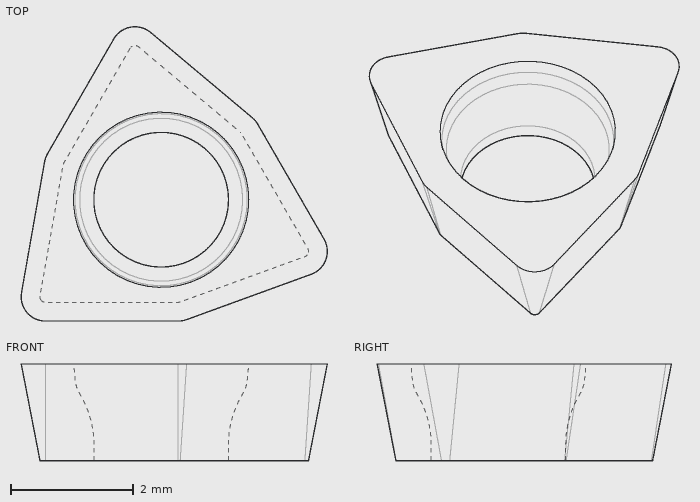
import cadquery as cq
import math

overall_length = 5.01
thickness = 1.59
corner_radius = 0.4
relief_angle = 11.0
edge_break_angle = 20.0
first_edge_normal = -90.0
lobe_count = 3
lobe_angle = 360 / lobe_count

bore_radius = 2.2 / 2
mouth_top_radius = 1.435
mouth_bottom_radius = 1.41
mouth_depth = 0.265
seat_top_radius = 1.335
seat_top_depth = 0.49
seat_bottom_depth = 1.32


def tangent_line_crossing(normal_a, normal_b, distance):
    """Point where two lines at the given distance from the axis meet."""
    middle = math.radians((normal_a + normal_b) / 2)
    half_turn = math.radians((normal_b - normal_a) / 2)
    reach = distance / math.cos(half_turn)
    return (reach * math.cos(middle), reach * math.sin(middle))


def trigon(inscribed_radius):
    """Sharp corners of a six-edged trigon around the given inscribed circle."""
    points = []
    for lobe in range(lobe_count):
        normal = first_edge_normal + lobe * lobe_angle
        broken_normal = normal + edge_break_angle
        next_normal = normal + lobe_angle
        points.append(tangent_line_crossing(normal, broken_normal, inscribed_radius))
        points.append(tangent_line_crossing(broken_normal, next_normal, inscribed_radius))
    return points


def corner_arc_centres():
    """Trigon sized so that the rounded top outline spans the overall length."""
    unit_x = [x for x, y in trigon(1)]
    unit_length = max(unit_x) - min(unit_x)
    return trigon((overall_length - 2 * corner_radius) / unit_length)


def rounded_outline(radius, height):
    """Trigon wire at the given height with all corners rounded to the radius."""
    plane = cq.Workplane("XY", origin=(0, 0, height))
    return plane.polyline(corner_arc_centres()).close().offset2D(radius).val()


def insert_body():
    """Trigon with every flank and rounded corner tapering in toward the bottom."""
    bottom_corner_radius = corner_radius - thickness * math.tan(math.radians(relief_angle))
    bottom = rounded_outline(bottom_corner_radius, 0)
    top = rounded_outline(corner_radius, thickness)
    return cq.Workplane(cq.Solid.makeLoft([bottom, top], True))


def screw_hole():
    """Slightly conical mouth, rounded shoulder and flared seat blending into the bore."""
    mouth_z = thickness - mouth_depth
    seat_top_z = thickness - seat_top_depth
    seat_bottom_z = thickness - seat_bottom_depth

    seat_width = seat_top_radius - bore_radius
    seat_height = seat_top_z - seat_bottom_z
    seat_arc_radius = (seat_width**2 + seat_height**2) / (2 * seat_width)
    half_sweep = math.asin(seat_height / seat_arc_radius) / 2
    seat_middle = (
        bore_radius + seat_arc_radius * (1 - math.cos(half_sweep)),
        seat_bottom_z + seat_arc_radius * math.sin(half_sweep),
    )

    return (
        cq.Workplane("XZ")
        .lineTo(bore_radius, 0)
        .lineTo(bore_radius, seat_bottom_z)
        .threePointArc(seat_middle, (seat_top_radius, seat_top_z))
        .tangentArcPoint((mouth_bottom_radius, mouth_z), relative=False)
        .lineTo(mouth_top_radius, thickness)
        .lineTo(0, thickness)
        .close()
        .revolve(360, (0, 0, 0), (0, 1, 0))
    )


result = insert_body().cut(screw_hole())